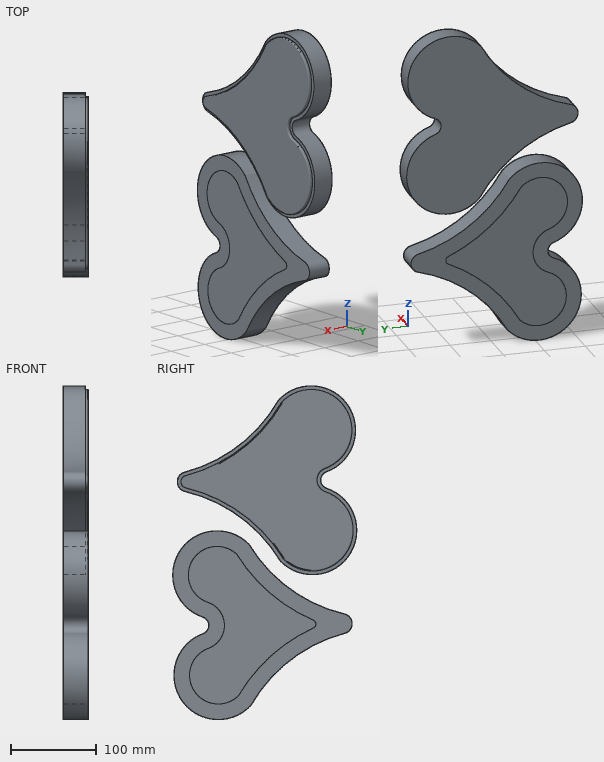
import cadquery as cq
import math

base_thickness = 29.5
lid_plate_thickness = 26.0
lip_height = base_thickness - lid_plate_thickness

lip_inset = 4.3
insert_inset = 18.5

lip_rounding = 1.0
insert_tip_radius = 5.0

lobe_offset = 58.5
lobe_radius = 52.0
lobe_corner_angle = 43.0
notch_radius = 10.0
side_radius = 178.0
tip_radius = 11.7
tip_center_distance = 145.5

base_center_y = -55.0
base_center_z = -84.7
heart_tilt = 0.7


def point_on_circle(center, radius, angle):
    return (
        center[0] + radius * math.cos(math.radians(angle)),
        center[1] + radius * math.sin(math.radians(angle)),
    )


def direction(start, end):
    """Direction in degrees from one point to another."""
    return math.degrees(math.atan2(end[1] - start[1], end[0] - start[0]))


def circles_meet(center_a, radius_a, center_b, radius_b):
    """Crossing point of two circles that lies to the left of the line from a to b."""
    span = math.dist(center_a, center_b)
    along = (radius_a**2 - radius_b**2 + span**2) / (2 * span)
    turn = math.degrees(math.acos(along / radius_a))
    return point_on_circle(center_a, radius_a, direction(center_a, center_b) + turn)


lobe_center = (0.0, lobe_offset)
notch_center = (-math.sqrt((lobe_radius + notch_radius) ** 2 - lobe_offset**2), 0.0)
lobe_corner = point_on_circle(lobe_center, lobe_radius, lobe_corner_angle)
side_center = circles_meet(
    lobe_corner, side_radius, (tip_center_distance, 0.0), side_radius + tip_radius
)


def mirrored(arc):
    """The same arc on the other side of the heart axis, travelled the other way."""
    center, radius, start, end = arc
    return ((center[0], -center[1]), radius, -end, -start)


def heart_prism(inset, rounding, x_start, height):
    """Prism of the heart outline moved inward by the inset, in the place of the base.

    The rounding is the radius of the tip, which is tangent to both flanks.
    """
    lobe_reach = lobe_radius - inset
    side_reach = side_radius + inset
    corner = circles_meet(lobe_center, lobe_reach, side_center, side_reach)
    tip_setback = math.sqrt((side_reach + rounding) ** 2 - side_center[1] ** 2)
    tip_center = (side_center[0] - tip_setback, 0.0)
    notch_end = direction(notch_center, lobe_center)
    tip_end = direction(tip_center, side_center)

    side = (side_center, side_reach, direction(side_center, tip_center), direction(side_center, corner))
    lobe_start = direction(lobe_center, corner)
    lobe_end = direction(lobe_center, notch_center) % 360
    lobe = (lobe_center, lobe_reach, lobe_start, lobe_end)
    notch = (notch_center, notch_radius + inset, notch_end, -notch_end)
    tip = (tip_center, rounding, -tip_end, tip_end)

    outline = cq.Workplane("YZ", origin=(x_start, 0, 0))
    outline = outline.moveTo(*point_on_circle(tip_center, rounding, tip_end))
    for center, radius, start, end in [side, lobe, notch, mirrored(lobe), mirrored(side), tip]:
        middle = point_on_circle(center, radius, (start + end) / 2)
        outline = outline.threePointArc(middle, point_on_circle(center, radius, end))
    prism = outline.close().extrude(height)
    prism = prism.rotate((0, 0, 0), (1, 0, 0), heart_tilt)
    return prism.translate((0, base_center_y, base_center_z))


def make_insert():
    """Heart-shaped core that fills the opening of the base."""
    return heart_prism(insert_inset, insert_tip_radius, 0, base_thickness)


def make_base():
    """Heart-shaped ring around the insert."""
    return heart_prism(0, tip_radius, 0, base_thickness).cut(make_insert())


def make_lid():
    """Heart plate with a raised lip that is set in from its edge."""
    plate = heart_prism(0, tip_radius, 0, lid_plate_thickness)
    lip = heart_prism(lip_inset, tip_radius - lip_inset, lid_plate_thickness, lip_height)
    lip = lip.faces(">X").edges().fillet(lip_rounding)
    return plate.union(lip).rotate((0, 0, 0), (1, 0, 0), 180)


base = make_base()
insert = make_insert()
lid = make_lid()

result = cq.Compound.makeCompound([base.val(), insert.val(), lid.val()])